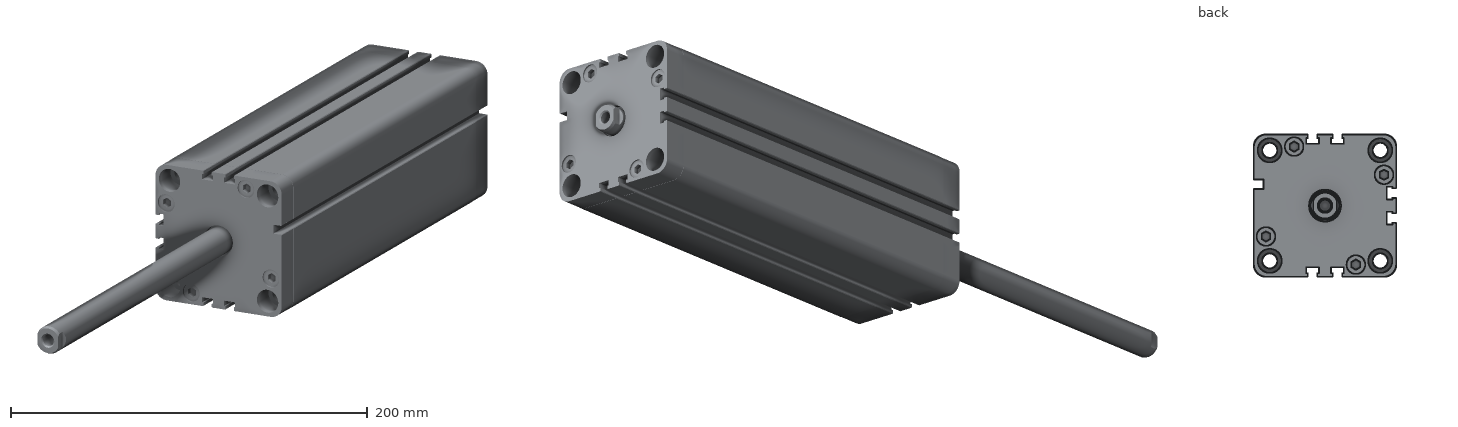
import cadquery as cq
import math

CAP_SIZE = 79.8
TUBE_SIZE = 80.0
BODY_LENGTH = 250.0
CAP_LENGTH = 14.0
CORNER_RADIUS = 7.0
HALF_SIZE = TUBE_SIZE / 2

ROD_DIAMETER = 16.0
ROD_FRONT_LENGTH = 207.5
ROD_REAR_LENGTH = 7.5
ROD_CHAMFER_RADIAL = 0.75
ROD_CHAMFER_AXIAL = 1.75
ROD_RECESS_DIAMETER = 18.0
ROD_RECESS_DEPTH = 3.0

ACROSS_FLATS = 13.0
FLATS_LENGTH = 5.3
THREAD_DIAMETER = 6.65
THREAD_MOUTH_DIAMETER = 8.25
THREAD_DEPTH = 20.0
DRILL_POINT_ANGLE = 120.0

SLOT_OFFSET = 7.0
SLOT_NECK_WIDTH = 5.2
SLOT_NECK_DEPTH = 2.2
SLOT_HEAD_WIDTH = 7.0
SLOT_DEPTH = 5.3
LIP_CHAMFER = 0.4

GROOVE_WIDTH = 5.2
GROOVE_DEPTH = 5.4
GROOVE_Z = 12.0

MOUNT_SPACING = 62.0
MOUNT_HOLE_DIAMETER = 8.38
MOUNT_COUNTERBORE_DIAMETER = 13.5
MOUNT_COUNTERBORE_DEPTH = CAP_LENGTH

SCREW_ALONG_SIDE = 17.3
SCREW_FROM_CENTER = 33.1
SCREW_RECESS_DIAMETER = 10.5
SCREW_RECESS_DEPTH = 1.0
HEX_ACROSS_FLATS = 5.0
HEX_ACROSS_CORNERS = HEX_ACROSS_FLATS / math.cos(math.pi / 6)
HEX_DEPTH = 4.0

QUARTER_TURNS = (0, 90, 180, 270)


def square_bar(size, y_start, y_end):
    """Square bar along Y, centred on the rod axis, with rounded long edges."""
    length = y_end - y_start
    bar = cq.Workplane("XY").box(size, length, size).edges("|Y").fillet(CORNER_RADIUS)
    return bar.translate((0, y_start + length / 2, 0))


def cylinder(diameter, y_start, y_end, x=0.0, z=0.0):
    """Cylinder along Y between two Y positions."""
    profile = cq.Workplane("XZ", origin=(x, y_start, z)).circle(diameter / 2)
    return profile.extrude(y_start - y_end)


def turned(shape, angle):
    """Shape turned about the rod axis, clockwise as seen from the front for positive angles."""
    return shape.rotate((0, 0, 0), (0, 1, 0), angle)


def at_both_ends(shape, y_start, y_end):
    """Shape drawn at Y = 0 reaching into +Y, placed at y_start and mirrored at y_end."""
    front = shape.translate((0, y_start, 0))
    rear = shape.mirror("XZ").translate((0, y_end, 0))
    return front.union(rear)


def make_caps_and_tube():
    tube = square_bar(TUBE_SIZE, CAP_LENGTH, BODY_LENGTH - CAP_LENGTH)
    return tube.union(at_both_ends(square_bar(CAP_SIZE, 0, CAP_LENGTH), 0, BODY_LENGTH))


def slot_cutter(offset, depth, neck_depth, neck_width, head_width):
    """Slot open to +Z with chamfered lips; its head below the neck may be wider."""
    floor = HALF_SIZE - depth
    shoulder = HALF_SIZE - neck_depth
    half_neck = neck_width / 2
    half_head = head_width / 2
    half_mouth = half_neck + LIP_CHAMFER
    lip = HALF_SIZE - LIP_CHAMFER
    head = (
        cq.Workplane("XZ")
        .moveTo(offset - half_head, floor)
        .lineTo(offset + half_head, floor)
        .lineTo(offset + half_head, shoulder)
        .lineTo(offset - half_head, shoulder)
        .close()
        .extrude(-BODY_LENGTH)
    )
    neck = (
        cq.Workplane("XZ")
        .moveTo(offset - half_neck, floor)
        .lineTo(offset + half_neck, floor)
        .lineTo(offset + half_neck, lip)
        .lineTo(offset + half_mouth, HALF_SIZE)
        .lineTo(offset - half_mouth, HALF_SIZE)
        .lineTo(offset - half_neck, lip)
        .close()
        .extrude(-BODY_LENGTH)
    )
    return neck.union(head)


def cut_slots(body):
    for angle in (0, 180, -90):
        for offset in (-SLOT_OFFSET, SLOT_OFFSET):
            slot = slot_cutter(offset, SLOT_DEPTH, SLOT_NECK_DEPTH, SLOT_NECK_WIDTH, SLOT_HEAD_WIDTH)
            body = body.cut(turned(slot, angle))
    groove = slot_cutter(-GROOVE_Z, GROOVE_DEPTH, SLOT_NECK_DEPTH, GROOVE_WIDTH, GROOVE_WIDTH)
    return body.cut(turned(groove, 90))


def cut_mounting_holes(body):
    offset = MOUNT_SPACING / 2
    hole = cylinder(MOUNT_HOLE_DIAMETER, 0, BODY_LENGTH, offset, offset)
    counterbore = cylinder(MOUNT_COUNTERBORE_DIAMETER, 0, MOUNT_COUNTERBORE_DEPTH, offset, offset)
    cutter = hole.union(at_both_ends(counterbore, 0, BODY_LENGTH))
    for angle in QUARTER_TURNS:
        body = body.cut(turned(cutter, angle))
    return body


def cut_screws(body):
    for angle in QUARTER_TURNS:
        turn = math.radians(angle)
        x = SCREW_ALONG_SIDE * math.cos(turn) + SCREW_FROM_CENTER * math.sin(turn)
        z = SCREW_FROM_CENTER * math.cos(turn) - SCREW_ALONG_SIDE * math.sin(turn)
        recess = cylinder(SCREW_RECESS_DIAMETER, 0, SCREW_RECESS_DEPTH, x, z)
        socket = cq.Workplane("XZ").polygon(6, HEX_ACROSS_CORNERS).extrude(-HEX_DEPTH)
        socket = turned(socket, 90).translate((x, 0, z))
        body = body.cut(at_both_ends(recess.union(socket), 0, BODY_LENGTH))
    return body


def cut_rod_recesses(body):
    """Shallow ring of clearance around the rod in both cap faces."""
    recess = cylinder(ROD_RECESS_DIAMETER, 0, ROD_RECESS_DEPTH)
    return body.cut(at_both_ends(recess, 0, BODY_LENGTH))


def rod_end_cutter():
    """Material removed from the rod end at Y = 0: chamfer, wrench flats and thread hole."""
    rod_radius = ROD_DIAMETER / 2
    chamfer = (
        cq.Workplane("XY")
        .moveTo(rod_radius - ROD_CHAMFER_RADIAL, 0)
        .lineTo(rod_radius, 0)
        .lineTo(rod_radius, ROD_CHAMFER_AXIAL)
        .close()
        .revolve(360, (0, 0, 0), (0, 1, 0))
    )
    half_flats = ACROSS_FLATS / 2
    flat = (
        cq.Workplane("XY", origin=(0, 0, -rod_radius))
        .moveTo(half_flats, 0)
        .lineTo(half_flats, FLATS_LENGTH)
        .lineTo(rod_radius, FLATS_LENGTH + rod_radius - half_flats)
        .lineTo(rod_radius, 0)
        .close()
        .extrude(ROD_DIAMETER)
    )
    thread_radius = THREAD_DIAMETER / 2
    mouth_radius = THREAD_MOUTH_DIAMETER / 2
    point_depth = thread_radius / math.tan(math.radians(DRILL_POINT_ANGLE / 2))
    hole = (
        cq.Workplane("XY")
        .lineTo(mouth_radius, 0)
        .lineTo(thread_radius, mouth_radius - thread_radius)
        .lineTo(thread_radius, THREAD_DEPTH)
        .lineTo(0, THREAD_DEPTH + point_depth)
        .close()
        .revolve(360, (0, 0, 0), (0, 1, 0))
    )
    return chamfer.union(flat).union(flat.mirror("YZ")).union(hole)


def make_rod():
    front = -ROD_FRONT_LENGTH
    rear = BODY_LENGTH + ROD_REAR_LENGTH
    rod = cylinder(ROD_DIAMETER, front, rear)
    return rod.cut(at_both_ends(rod_end_cutter(), front, rear))


body = make_caps_and_tube()
body = cut_slots(body)
body = cut_mounting_holes(body)
body = cut_screws(body)
body = cut_rod_recesses(body)
result = body.union(make_rod())